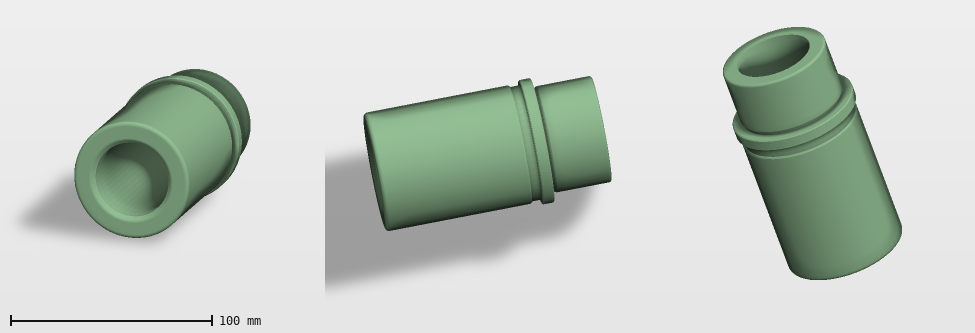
import cadquery as cq
import math

length = 115.0
bore_radius = 19.0

body_radius = 30.0
body_end = 74.0
body_front_round = 2.0
body_rear_chamfer_length = 0.8
body_rear_chamfer_depth = 0.5

groove_radius = 29.0

flange_radius = 31.5
flange_front = 79.0
flange_back = 85.0
flange_chamfer = 0.5
shoulder_radius = 29.4
shoulder_length = 0.5

tail_neck_radius = 26.0
tail_radius = 26.9
tail_start = 86.2
tail_front_chamfer_length = 1.0
tail_front_chamfer_depth = 0.5
tail_end_round = 1.3

entry_cone = 1.5
entry_lip_radius = 2.0
entry_angle = math.radians(45)


def round_midpoint(center_radius, center_y, round_radius, y_direction):
    """Middle of a convex outer quarter round, as (radius, y)."""
    offset = round_radius * math.sqrt(0.5)
    return (center_radius + offset, center_y + y_direction * offset)


def bush_profile():
    """Half section, with radius along X and the bush axis along Y."""
    cone_outer_radius = bore_radius + entry_cone
    lip_outer_radius = cone_outer_radius + entry_lip_radius * math.sin(entry_angle)
    lip_depth = entry_lip_radius * (1 - math.cos(entry_angle))
    lip_midpoint = (
        lip_outer_radius - entry_lip_radius * math.sin(entry_angle / 2),
        entry_lip_radius * (1 - math.cos(entry_angle / 2)),
    )

    front_round_center = body_radius - body_front_round
    front_round_mid = round_midpoint(front_round_center, body_front_round, body_front_round, -1)
    tail_round_center = tail_radius - tail_end_round
    tail_round_start = length - tail_end_round
    tail_round_mid = round_midpoint(tail_round_center, tail_round_start, tail_end_round, 1)

    return (
        cq.Workplane("XY")
        .moveTo(bore_radius, lip_depth + entry_cone)
        .lineTo(cone_outer_radius, lip_depth)
        .threePointArc(lip_midpoint, (lip_outer_radius, 0))
        .lineTo(front_round_center, 0)
        .threePointArc(front_round_mid, (body_radius, body_front_round))
        .lineTo(body_radius, body_end - body_rear_chamfer_length)
        .lineTo(body_radius - body_rear_chamfer_depth, body_end)
        .lineTo(groove_radius, body_end)
        .lineTo(groove_radius, flange_front - shoulder_length)
        .lineTo(shoulder_radius, flange_front)
        .lineTo(flange_radius - flange_chamfer, flange_front)
        .lineTo(flange_radius, flange_front + flange_chamfer)
        .lineTo(flange_radius, flange_back - flange_chamfer)
        .lineTo(flange_radius - flange_chamfer, flange_back)
        .lineTo(tail_neck_radius, flange_back)
        .lineTo(tail_neck_radius, tail_start)
        .lineTo(tail_radius - tail_front_chamfer_depth, tail_start)
        .lineTo(tail_radius, tail_start + tail_front_chamfer_length)
        .lineTo(tail_radius, tail_round_start)
        .threePointArc(tail_round_mid, (tail_round_center, length))
        .lineTo(bore_radius, length)
        .close()
    )


result = bush_profile().revolve(360, (0, 0, 0), (0, 1, 0))